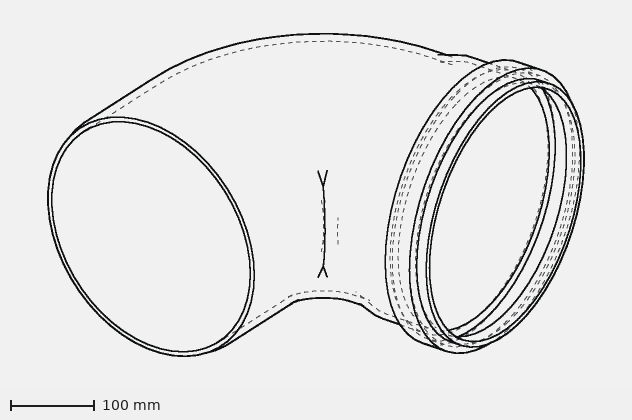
import cadquery as cq
import math

pipe_diameter = 315.5
pipe_bore = 298.0

bend_angle = 87.5
bend_radius = 148.0

spigot_length = 144.5
spigot_chamfer_length = 13.0
spigot_chamfer_depth = 3.0

taper_start = 21.0
taper_end = 47.0
bore_taper_end = 49.5
ring_start = 108.5
ring_end = 147.5
socket_length = 161.5
socket_diameter = 330.0
socket_bore = 316.0
socket_wall = (socket_diameter - socket_bore) / 2

ring_diameter = 354.5
ring_bore = 341.0
ring_flank_slope = 2.0

pipe_radius = pipe_diameter / 2
bore_radius = pipe_bore / 2


def turned(profile):
    """Turn (radius, distance) points about the Y axis into a solid."""
    start, end = profile[0][1], profile[-1][1]
    points = [(0, start), *profile, (0, end)]
    return cq.Workplane("XY").polyline(points).close().revolve(360, (0, 0, 0), (0, 1, 0))


def bend(radius):
    """Sweep the part of a round section that lies outside the bend axis."""
    chord_half = math.sqrt(radius**2 - bend_radius**2)
    section = (
        cq.Workplane("XZ")
        .moveTo(bend_radius, chord_half)
        .threePointArc((-radius, 0), (bend_radius, -chord_half))
        .close()
    )
    return section.revolve(bend_angle, (bend_radius, 4.8, 0), (bend_radius, 0, 0))


def place_on_bend_end(body):
    """Move a body from the start of the bend, along +Y, to its far end."""
    return body.rotate((bend_radius, 0, 0), (bend_radius, 0, 1), -bend_angle)


def elbow(radius, spigot_profile, socket_profile):
    """Join spigot, bend and socket into one solid body."""
    spigot = turned(spigot_profile)
    socket = place_on_bend_end(turned(socket_profile))
    return spigot.union(bend(radius)).union(socket)


outer = elbow(
    pipe_radius,
    [
        (pipe_radius - spigot_chamfer_depth, -spigot_length),
        (pipe_radius, spigot_chamfer_length - spigot_length),
        (pipe_radius, 0),
    ],
    [
        (pipe_radius, 0),
        (pipe_radius, taper_start),
        (socket_diameter / 2, taper_end),
        (socket_diameter / 2, ring_start),
        (ring_diameter / 2, ring_start + ring_flank_slope),
        (ring_diameter / 2, ring_end - ring_flank_slope),
        (socket_diameter / 2, ring_end),
        (socket_diameter / 2, socket_length),
    ],
)

inner = elbow(
    bore_radius,
    [(bore_radius, -spigot_length), (bore_radius, 0)],
    [
        (bore_radius, 0),
        (bore_radius, taper_start),
        (socket_bore / 2, bore_taper_end),
        (socket_bore / 2, ring_start + socket_wall),
        (ring_bore / 2, ring_start + socket_wall),
        (ring_bore / 2, ring_end - socket_wall),
        (socket_bore / 2, ring_end - socket_wall),
        (socket_bore / 2, socket_length),
    ],
)

result = outer.cut(inner)